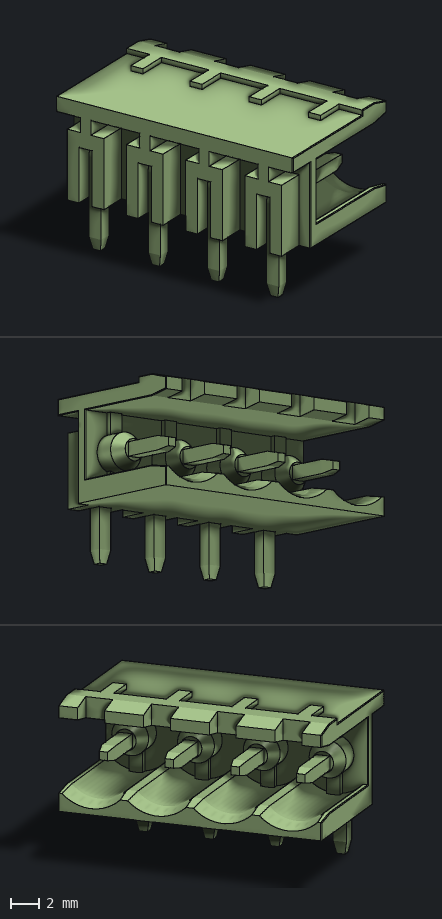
import cadquery as cq

LENGTH = 20.0
DEPTH = 12.1
HEIGHT = 8.2
OVERALL_HEIGHT = 12.2
POLES = 4
PITCH = 5.0
POLE_XS = [PITCH * (i - (POLES - 1) / 2) for i in range(POLES)]

TOP_FACE_Z = 7.8
UPPER_PLATE_Z = 6.62
LOWER_PLATE_Z = 1.65
WALL_BACK_Y = 2.25
WALL_FRONT_Y = 3.08
LIP_DEPTH = 1.6
LIP_RISE = 0.28
TOP_SLOPE_Y = 10.55
BAND_BACK_Y = 9.02
END_CHAMFER = 0.05

TOOTH_WIDTH = 1.02
TOOTH_BACK_Y = 6.62
NOTCH_WIDTH = 2.05

STANDOFF_WIDTH = 3.1
STANDOFF_Z = 5.48
NECK_WIDTH = 0.88
SLOT_WIDTH = 1.12
SLOT_Z = 4.3

PIN_SIZE = 1.05
PIN_Z = 3.7
PIN_END_Y = 9.72
PIN_END_Z = HEIGHT - OVERALL_HEIGHT
PIN_TIP_LENGTH = 0.95
PIN_TIP_SIZE = 0.65

BOSS_RADIUS = 1.4
BOSS_TIP_RADIUS = 0.8
BOSS_SHOULDER_Y = 4.58
BOSS_END_Y = 5.48
RIB_FRONT_Y = 3.48

TROUGH_RADIUS = 2.95
FLARE_RADIUS = 3.22


def box(x_center, width, y_min, y_max, z_min, z_max):
    """Block centred on x_center along X, between the given Y and Z limits."""
    size = (width, y_max - y_min, z_max - z_min)
    corner = (x_center - width / 2, y_min, z_min)
    return cq.Workplane("XY").box(*size, centered=False).translate(corner)


def housing_shell():
    """C-shaped side profile run along X, its ends chamfered except on the underside."""
    profile = [
        (WALL_BACK_Y, 0),
        (DEPTH, 0),
        (DEPTH, LOWER_PLATE_Z - LIP_RISE),
        (DEPTH - LIP_DEPTH, LOWER_PLATE_Z),
        (WALL_FRONT_Y, LOWER_PLATE_Z),
        (WALL_FRONT_Y, UPPER_PLATE_Z),
        (DEPTH - LIP_DEPTH, UPPER_PLATE_Z),
        (DEPTH, UPPER_PLATE_Z + LIP_RISE),
        (DEPTH, TOP_FACE_Z),
        (TOP_SLOPE_Y, HEIGHT),
        (BAND_BACK_Y, HEIGHT),
        (BAND_BACK_Y, TOP_FACE_Z),
        (0, TOP_FACE_Z),
        (0, UPPER_PLATE_Z),
        (WALL_BACK_Y, UPPER_PLATE_Z),
    ]
    shell = cq.Workplane("YZ").polyline(profile).close().extrude(LENGTH / 2, both=True)
    return shell.faces("<X or >X").edges("not <Z").chamfer(END_CHAMFER)


def standoff(x):
    """Rear block on a narrow neck, slotted from below to let the pin tail out."""
    block = box(x, STANDOFF_WIDTH, 0, WALL_BACK_Y, 0, STANDOFF_Z)
    neck = box(x, NECK_WIDTH, 0, WALL_BACK_Y, STANDOFF_Z, UPPER_PLATE_Z)
    slot = box(x, SLOT_WIDTH, 0, WALL_BACK_Y, 0, SLOT_Z)
    return block.union(neck).cut(slot)


def turned(x, outline):
    """Solid turned about the pin axis from (radius, Y) points."""
    half = cq.Workplane("XY").polyline(outline).close()
    return half.revolve(360, (0, 0, 0), (0, 1, 0)).translate((x, 0, PIN_Z))


def trough(x):
    """Cylinder flaring toward the opening, kept below the pin axis."""
    cutter = turned(x, [
        (0, WALL_FRONT_Y),
        (TROUGH_RADIUS, WALL_FRONT_Y),
        (TROUGH_RADIUS, DEPTH - LIP_DEPTH),
        (FLARE_RADIUS, DEPTH),
        (0, DEPTH),
    ])
    return cutter.intersect(box(x, 2 * FLARE_RADIUS, WALL_FRONT_Y, DEPTH, 0, PIN_Z))


def boss(x):
    """Round boss with a conical end, crossed by a shallow upright rib on the wall."""
    body = turned(x, [
        (0, WALL_FRONT_Y),
        (BOSS_RADIUS, WALL_FRONT_Y),
        (BOSS_RADIUS, BOSS_SHOULDER_Y),
        (BOSS_TIP_RADIUS, BOSS_END_Y),
        (0, BOSS_END_Y),
    ])
    rib = box(x, PIN_SIZE, WALL_FRONT_Y, RIB_FRONT_Y, 0, UPPER_PLATE_Z)
    return body.union(rib)


def pin(x):
    """Square right-angle pin, rounded outside its bend, with tapered ends."""
    half = PIN_SIZE / 2
    tip_start_y = PIN_END_Y - PIN_TIP_LENGTH
    tip_start_z = PIN_END_Z + PIN_TIP_LENGTH
    tail_y = WALL_BACK_Y - half
    straight = box(x, PIN_SIZE, tail_y - half, tip_start_y, PIN_Z - half, PIN_Z + half)
    tail = box(x, PIN_SIZE, tail_y - half, tail_y + half, tip_start_z, PIN_Z + half)
    bent = straight.union(tail)
    bend_edge = cq.selectors.NearestToPointSelector((x, tail_y - half, PIN_Z + half))
    bent = bent.edges(bend_edge).fillet(PIN_SIZE)
    for plane in (
        cq.Plane((x, tip_start_y, PIN_Z), (1, 0, 0), (0, 1, 0)),
        cq.Plane((x, tail_y, tip_start_z), (1, 0, 0), (0, 0, -1)),
    ):
        tip = cq.Workplane(plane).rect(PIN_SIZE, PIN_SIZE)
        tip = tip.workplane(offset=PIN_TIP_LENGTH).rect(PIN_TIP_SIZE, PIN_TIP_SIZE).loft()
        bent = bent.union(tip)
    return bent


result = housing_shell()
for pole_x in POLE_XS:
    result = result.union(box(pole_x, TOOTH_WIDTH, TOOTH_BACK_Y, BAND_BACK_Y, TOP_FACE_Z, HEIGHT))
    result = result.cut(box(pole_x, NOTCH_WIDTH, TOP_SLOPE_Y, DEPTH, UPPER_PLATE_Z, HEIGHT))
    result = result.cut(trough(pole_x))
    result = result.union(standoff(pole_x)).union(boss(pole_x)).union(pin(pole_x))